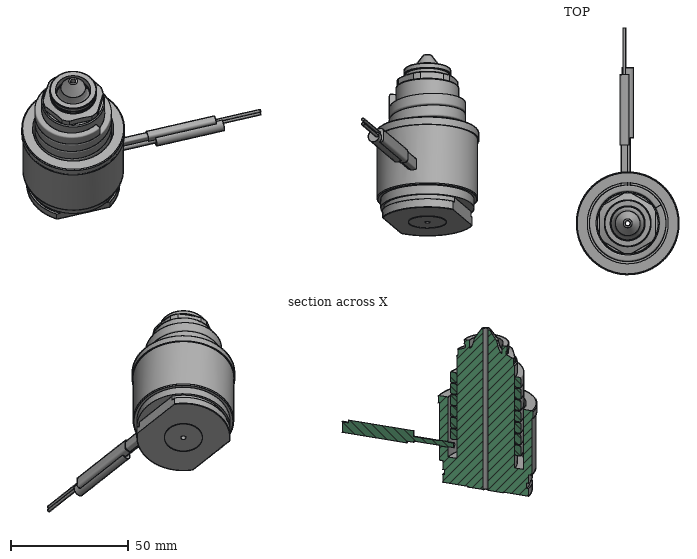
import cadquery as cq
import math


boss_radius = 8.1
boss_height = 0.3
foot_radius = 19.9
foot_top = 4.1
foot_chamfer = 0.2
groove_radius = 19.1
groove_top = 6.3
wrench_flat_distance = 16.0
base_top = 10.3

shell_radius = 21.5
shell_chamfer = 0.4
rim_diameter = 44.0
rim_radius = rim_diameter / 2
rim_bottom = 36.9
rim_top = 40.5
rim_chamfer = 0.4
bore_radius = 17.3
bore_floor = 12.7

core_radius = 13.5
core_top = 60.6
core_chamfer = 0.5

hex_sides = 6
hex_across_flats = 24.0
hex_turn = 180 / hex_sides
hex_corner_radius = 13.0
hex_edge_top = 63.3
hex_slope_top = 64.5
neck_radius = 9.5
neck_flare = 0.3
neck_top = 66.0
collar_radius = 10.0
collar_top = 68.5
collar_chamfer = 0.3

recess_radius = 7.5
recess_floor = 64.9
tip_foot_radius = 7.1
tip_waist_radius = 6.0
tip_waist_height = 67.0
tip_shoulder_radius = 5.3
tip_shoulder_height = 70.0
tip_end_radius = 1.9
tip_top = 74.8
channel_radius = 1.1

strip_width = 2.8
strip_height = 5.1
strip_fillet = 0.6
coil_pitch = 5.3
coil_start_height = 18.3
coil_start_angle = 90.0
coil_end_angle = 29.0
coil_whole_turns = 7

lead_height = 19.4
lead_x = -strip_width / 2
lead_start = 14.8
sleeve_wall = 0.47
sleeve_start = 33.3
sleeve_length = 30.2
probe_height = 18.4
probe_radius = 1.2
probe_sleeve_radius = 2.5
probe_sleeve_start = 36.5
probe_sleeve_length = 30.0
wire_radius = 0.6
wire_offset = 1.0
overall_length = 105.5
wire_start = sleeve_start + sleeve_length / 2
wire_end = overall_length - rim_radius


def disc(radius, bottom, top):
    """Cylinder on the main axis."""
    return cq.Workplane("XY").workplane(offset=bottom).circle(radius).extrude(top - bottom)


def rod(x, z, radius, start, end):
    """Cylinder parallel to Y."""
    return cq.Workplane("XZ", origin=(x, start, z)).circle(radius).extrude(start - end)


def rounded_bar(width, height, fillet, start, end):
    """Bar parallel to Y with rounded long edges, centred on the lead."""
    bar = cq.Workplane("XZ", origin=(lead_x, start, lead_height)).rect(width, height).extrude(start - end)
    return bar.edges("|Y").fillet(fillet)


def lead_strip():
    return rounded_bar(strip_width, strip_height, strip_fillet, lead_start, sleeve_start + sleeve_length)


def probe_rod():
    return rod(0, probe_height, probe_radius, lead_start, probe_sleeve_start + probe_sleeve_length)



def make_base():
    """Foot and groove trimmed by two flats, with the base disc above and the boss below."""
    foot = disc(foot_radius, boss_height, foot_top).faces("<Z").chamfer(foot_chamfer)
    foot = foot.union(disc(groove_radius, foot_top, groove_top))
    flats = cq.Workplane("XY").rect(2 * wrench_flat_distance, 2 * foot_radius).extrude(groove_top)
    foot = foot.intersect(flats)
    return foot.union(disc(boss_radius, 0, boss_height)).union(disc(foot_radius, groove_top, base_top))


def make_shell():
    """Shell with its rim, hollow down to the bore floor."""
    shell = disc(shell_radius, base_top, rim_bottom).faces("<Z").chamfer(shell_chamfer)
    rim = disc(rim_radius, rim_bottom, rim_top).faces(">Z").chamfer(rim_chamfer)
    return shell.union(rim).cut(disc(bore_radius, bore_floor, rim_top))


def make_core():
    return disc(core_radius, bore_floor, core_top).faces(">Z").chamfer(core_chamfer)


def make_hexagon():
    """Hexagon with two flats facing X, trimmed at the corners and sloped on top."""
    turned = (
        cq.Workplane("XZ")
        .moveTo(0, core_top)
        .lineTo(hex_corner_radius, core_top)
        .lineTo(hex_corner_radius, hex_edge_top)
        .lineTo(neck_radius + neck_flare, hex_slope_top)
        .lineTo(0, hex_slope_top)
        .close()
        .revolve(360, (0, 0, 0), (0, 1, 0))
    )
    prism = (
        cq.Workplane("XY", origin=(0, 0, core_top))
        .transformed(rotate=(0, 0, hex_turn))
        .polygon(hex_sides, hex_across_flats / math.cos(math.pi / hex_sides))
        .extrude(hex_slope_top - core_top)
    )
    return turned.intersect(prism)


def make_collar():
    """Neck that widens at its foot, with the chamfered collar on top."""
    collar = disc(collar_radius, neck_top, collar_top).edges().chamfer(collar_chamfer)
    foot = (
        cq.Workplane("XY", origin=(0, 0, hex_slope_top))
        .circle(neck_radius + neck_flare)
        .workplane(offset=neck_flare)
        .circle(neck_radius)
        .loft()
    )
    return disc(neck_radius, hex_slope_top, neck_top).union(foot).union(collar)


def make_tip():
    return (
        cq.Workplane("XZ")
        .moveTo(0, recess_floor)
        .lineTo(tip_foot_radius, recess_floor)
        .lineTo(tip_waist_radius, tip_waist_height)
        .lineTo(tip_shoulder_radius, tip_shoulder_height)
        .lineTo(tip_end_radius, tip_top)
        .lineTo(0, tip_top)
        .close()
        .revolve(360, (0, 0, 0), (0, 1, 0))
    )


def make_nozzle():
    """Nozzle, base and shell as one body."""
    nozzle = make_base().union(make_shell()).union(make_core()).union(make_hexagon()).union(make_collar())
    nozzle = nozzle.cut(disc(recess_radius, recess_floor, collar_top)).union(make_tip())
    nozzle = nozzle.cut(disc(channel_radius, 0, tip_top))
    return nozzle.cut(lead_strip()).cut(probe_rod())



def make_coil():
    """Helical sweep of the rounded strip, touching the core."""
    turns = coil_whole_turns + (coil_end_angle - coil_start_angle) / 360
    mid_radius = core_radius + strip_width / 2
    path = cq.Wire.makeHelix(coil_pitch, turns * coil_pitch, mid_radius)
    section = (
        cq.Workplane("XZ", origin=(mid_radius, 0, 0))
        .sketch()
        .rect(strip_width, strip_height)
        .vertices()
        .fillet(strip_fillet)
        .finalize()
    )
    coil = section.sweep(cq.Workplane(path), isFrenet=True)
    return coil.rotate((0, 0, 0), (0, 0, 1), coil_start_angle).translate((0, 0, coil_start_height))


def make_lead():
    """Strip lead and probe with their sleeves, and the two wire ends."""
    sleeve = rounded_bar(
        strip_width + 2 * sleeve_wall,
        strip_height + 2 * sleeve_wall,
        strip_fillet + sleeve_wall,
        sleeve_start,
        sleeve_start + sleeve_length,
    )
    probe_sleeve = rod(
        0, probe_height, probe_sleeve_radius, probe_sleeve_start, probe_sleeve_start + probe_sleeve_length
    )
    lead = lead_strip().union(sleeve).union(probe_rod()).union(probe_sleeve)
    for side in (-1, 1):
        lead = lead.union(
            rod(lead_x, lead_height + side * wire_offset, wire_radius, wire_start, wire_end)
        )
    return lead


def make_heater():
    return make_coil().union(make_lead())


nozzle = make_nozzle()
heater = make_heater()

result = cq.Compound.makeCompound([nozzle.val(), heater.val()])